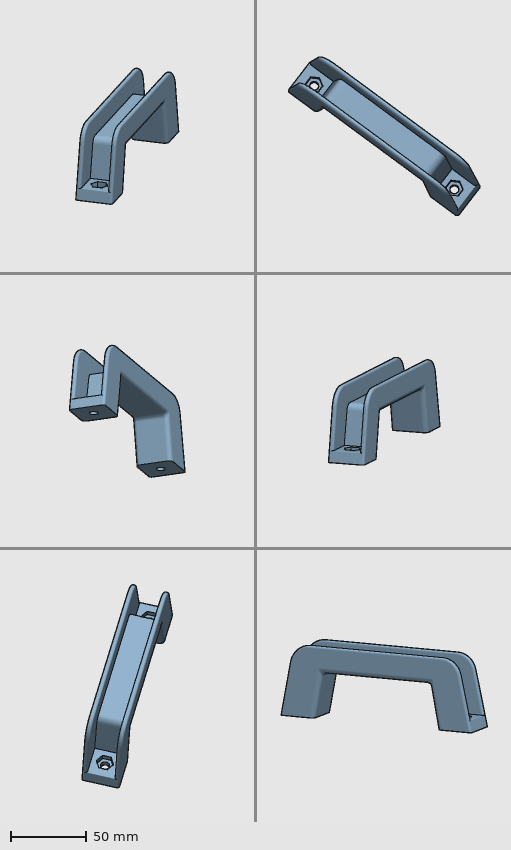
import cadquery as cq
import math

length = 142.0
width = 26.0
height = 49.0
half_length = length / 2

back_lean = 10.9
front_lean = 12.7
back_corner_radius = 15.3
front_corner_radius = 13.6

opening_half_width = 45.9
opening_height = 31.0
opening_lean = 10.8
opening_corner_radius = 3.3
opening_edge_radius = 3.3

wall = 3.5
cavity_width = width - 2 * wall
floor_height = 8.0
saddle_height = 35.1
saddle_base_half_width = 49.4
saddle_lean = 12.4
saddle_corner_radius = 5.4

rim_radius = 1.7

hole_diameter = 6.0
hole_offset = 58.5
nut_across_flats = 10.1
nut_depth = 4.0

floor_end_radius = 0.4

overshoot = 14.2
margin = 1.4
tolerance = 0.01


def lean_run(rise, angle):
    """Horizontal shift of a leaning face over a given rise."""
    return rise * math.tan(math.radians(angle))


def extrude_across(points, total_width):
    """Extrude a closed Y-Z outline symmetrically about X = 0."""
    return cq.Workplane("YZ").polyline(points).close().extrude(total_width / 2, both=True)


def make_outer_body():
    """Solid trapezoid with rounded shoulders and rounded side edges."""
    body = extrude_across(
        [
            (-half_length, 0),
            (half_length, 0),
            (half_length - lean_run(height, back_lean), height),
            (-half_length + lean_run(height, front_lean), height),
        ],
        width,
    )
    body = body.edges("|X").edges(">Z").edges(">Y").fillet(back_corner_radius)
    shoulder = cq.selectors.BoxSelector(
        (-width, -half_length, height - margin),
        (width, -half_length / 2, height + margin),
    )
    body = body.edges("|X").edges(shoulder).fillet(front_corner_radius)
    side_edges = body.faces("<X or >X").edges("not <Z")
    return side_edges.fillet(rim_radius)


def make_opening():
    """Cutter for the hand opening, open at the bottom."""
    top_half = opening_half_width - lean_run(opening_height, opening_lean)
    bottom_half = opening_half_width + lean_run(overshoot, opening_lean)
    return extrude_across(
        [
            (-bottom_half, -overshoot),
            (bottom_half, -overshoot),
            (top_half, opening_height),
            (-top_half, opening_height),
        ],
        width + 2 * overshoot,
    )


def make_cavity():
    """Space above the feet and the saddle, between the side walls."""
    channel = cq.Workplane("XY").box(
        cavity_width,
        length + 2 * overshoot,
        height,
        centered=(True, True, False),
    ).translate((0, 0, floor_height))
    top_half = saddle_base_half_width - lean_run(saddle_height - floor_height, saddle_lean)
    bottom_half = saddle_base_half_width + lean_run(floor_height, saddle_lean)
    saddle = extrude_across(
        [
            (-bottom_half, 0),
            (bottom_half, 0),
            (top_half, saddle_height),
            (-top_half, saddle_height),
        ],
        cavity_width,
    )
    saddle = saddle.edges("|X and >Z").fillet(saddle_corner_radius)
    return channel.cut(saddle)


def round_opening_edges(body):
    """Round the opening along both outer sides, then across its two upper corners."""
    side_zone = cq.selectors.BoxSelector(
        (-width, -opening_half_width - margin, margin),
        (width, opening_half_width + margin, opening_height + margin),
    )
    body = body.faces("<X or >X").edges(side_zone).fillet(opening_edge_radius)
    corner_zone = cq.selectors.BoxSelector(
        (-width, -opening_half_width, opening_height - margin),
        (width, opening_half_width, opening_height + margin),
    )
    return body.edges("|X").edges(corner_zone).fillet(opening_corner_radius)


def round_inner_rims(body):
    """Round the inner edges of the wall rims above the foot floors."""
    half_cavity = cavity_width / 2

    def on_inner_rim(edge):
        box = edge.BoundingBox()
        center = edge.Center()
        in_wall_plane = abs(abs(center.x) - half_cavity) < tolerance and box.xlen < tolerance
        above_saddle = box.zmax > saddle_height + margin
        return in_wall_plane and above_saddle

    return body.edges().filter(on_inner_rim).fillet(rim_radius)


def round_floor_ends(body):
    """Soften the outer edge of each foot floor."""

    def on_floor_end(edge):
        center = edge.Center()
        at_floor = abs(center.z - floor_height) < tolerance
        return at_floor and abs(center.y) > half_length - 2 * margin and abs(center.x) < tolerance

    return body.edges("|X").filter(on_floor_end).fillet(floor_end_radius)


def make_screw_cutter(y):
    """Through hole with a hexagonal nut pocket above it."""
    corner_diameter = nut_across_flats / math.cos(math.pi / 6)
    hole = cq.Workplane("XY").center(0, y).circle(hole_diameter / 2).extrude(floor_height)
    pocket = (
        cq.Workplane("XY", origin=(0, y, floor_height))
        .polygon(6, corner_diameter)
        .extrude(-nut_depth)
    )
    return hole.union(pocket)


result = make_outer_body().cut(make_opening())
result = round_opening_edges(result)
result = round_inner_rims(result.cut(make_cavity()))
result = round_floor_ends(result)
for y in (-hole_offset, hole_offset):
    result = result.cut(make_screw_cutter(y))